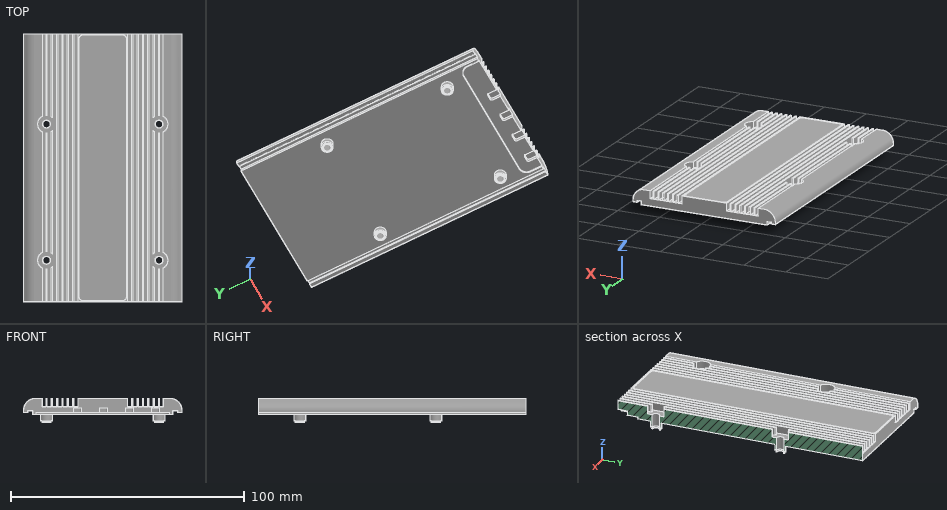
import cadquery as cq
LENGTH = 114.9
WIDTH = 68.0
TOP_Z = 7.0

SIDE_ARC_WIDTH = 4.7
SIDE_ARC_HEIGHT = 5.0
SIDE_RADIUS = 5.3

LIP_Z = 0.8
LIP_WIDTH = 2.0
GROOVE_WIDTH = 2.0
GROOVE_TOP_Z = 1.6

BLOCK_WIDTH = 21.4
FIN_BANK_OUTER_X = 25.9
FIN_FLOOR_Z = 3.5
FIN_COUNT = 6
FIN_THICKNESS = 0.6
FIN_PITCH = 2.3

LABEL_MARGIN = 0.5
LABEL_DEPTH = 0.1
LABEL_CORNER = 1.6

RECESS_WIDTH = 57.5
RECESS_DEPTH = 0.8
RECESS_CORNER = 3.6
RECESS_LENGTH = 9.2

NOTCH_COUNT = 4
NOTCH_PITCH = 11.1
NOTCH_CENTER_X = 5.9
NOTCH_WIDTH = 3.6
NOTCH_TOP_Z = 2.8
NOTCH_LENGTH = 4.6
NOTCH_CORNER = 0.8

SCREW_X = 24.1
SCREW_YS = (-39.6, 18.7)
COUNTERBORE_DIAMETER = 7.6
HOLE_DIAMETER = 3.2
PEG_DIAMETER = 5.2
PEG_BOTTOM_Z = -3.3
PEG_TIP_DIAMETER = 4.0
PEG_TIP_LENGTH = 0.7

SCREW_POINTS = [(x, y) for x in (-SCREW_X, SCREW_X) for y in SCREW_YS]


def make_body():
    """Extrude the cross-section: base, underside grooves, lips and rounded sides."""
    half = WIDTH / 2
    lip_inner = half - LIP_WIDTH
    rail_outer = lip_inner - GROOVE_WIDTH
    half_profile = (
        cq.Workplane("XZ", origin=(0, LENGTH / 2, 0))
        .lineTo(rail_outer, 0)
        .lineTo(rail_outer, GROOVE_TOP_Z)
        .lineTo(lip_inner, GROOVE_TOP_Z)
        .lineTo(lip_inner, LIP_Z)
        .lineTo(half, LIP_Z)
        .lineTo(half, TOP_Z - SIDE_ARC_HEIGHT)
        .radiusArc((half - SIDE_ARC_WIDTH, TOP_Z), -SIDE_RADIUS)
        .lineTo(0, TOP_Z)
        .close()
        .extrude(LENGTH)
    )
    return half_profile.union(half_profile.mirror("YZ"))


def make_fin_channels():
    """Both fin banks as open channels along Y, with the fins left standing in them."""
    bank_inner_x = BLOCK_WIDTH / 2
    bank_width = FIN_BANK_OUTER_X - bank_inner_x
    bank_center_x = bank_inner_x + bank_width / 2
    fin_xs = [SCREW_X - i * FIN_PITCH for i in range(FIN_COUNT)]
    height = TOP_Z - FIN_FLOOR_Z
    floor = cq.Workplane("XY", origin=(0, 0, FIN_FLOOR_Z))
    sides = (-1, 1)
    banks = (
        floor.pushPoints([(side * bank_center_x, 0) for side in sides])
        .rect(bank_width, LENGTH)
        .extrude(height)
    )
    fins = (
        floor.pushPoints([(side * x, 0) for side in sides for x in fin_xs])
        .rect(FIN_THICKNESS, LENGTH)
        .extrude(height)
    )
    return banks.cut(fins)


def make_label_recess():
    return (
        cq.Workplane("XY", origin=(0, 0, TOP_Z - LABEL_DEPTH))
        .rect(BLOCK_WIDTH - 2 * LABEL_MARGIN, LENGTH - 2 * LABEL_MARGIN)
        .extrude(LABEL_DEPTH)
        .edges("|Z")
        .fillet(LABEL_CORNER)
    )


def make_end_pocket(center_x, width, length, height, corner):
    """Pocket running in from the -Y end, with rounded corners at its closed end."""
    return (
        cq.Workplane("XY")
        .center(center_x, (length - LENGTH) / 2)
        .rect(width, length)
        .extrude(height)
        .edges("|Z and >Y")
        .fillet(corner)
    )


def cylinders(diameter, bottom_z, top_z):
    """One upright cylinder at each screw position."""
    return (
        cq.Workplane("XY", origin=(0, 0, bottom_z))
        .pushPoints(SCREW_POINTS)
        .circle(diameter / 2)
        .extrude(top_z - bottom_z)
    )


result = make_body().cut(make_fin_channels()).cut(make_label_recess())

result = result.cut(
    make_end_pocket(0, RECESS_WIDTH, RECESS_LENGTH, RECESS_DEPTH, RECESS_CORNER)
)
for i in range(NOTCH_COUNT):
    notch_x = NOTCH_CENTER_X + (i - (NOTCH_COUNT - 1) / 2) * NOTCH_PITCH
    result = result.cut(
        make_end_pocket(notch_x, NOTCH_WIDTH, NOTCH_LENGTH, NOTCH_TOP_Z, NOTCH_CORNER)
    )

peg_step_z = PEG_BOTTOM_Z + PEG_TIP_LENGTH
result = result.union(cylinders(PEG_DIAMETER, peg_step_z, FIN_FLOOR_Z))
result = result.union(cylinders(PEG_TIP_DIAMETER, PEG_BOTTOM_Z, peg_step_z))
result = result.cut(cylinders(COUNTERBORE_DIAMETER, FIN_FLOOR_Z, TOP_Z))
result = result.cut(cylinders(HOLE_DIAMETER, PEG_BOTTOM_Z, FIN_FLOOR_Z))